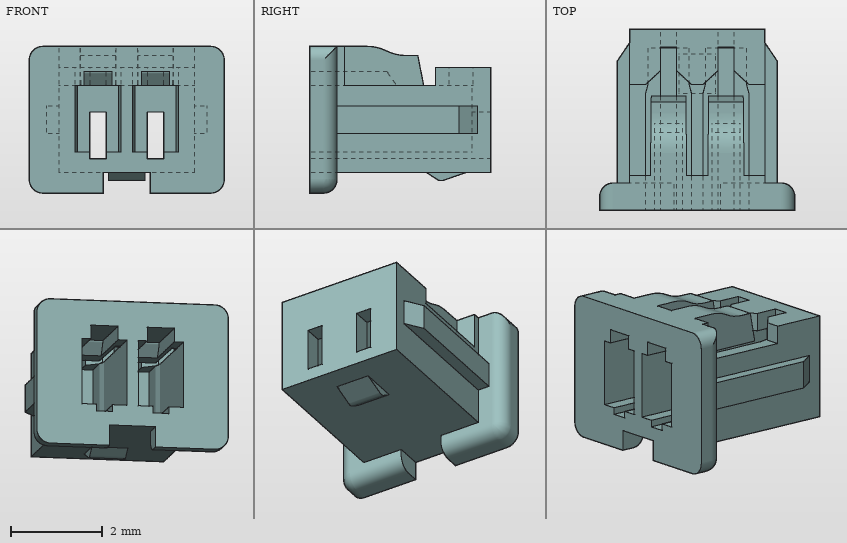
import cadquery as cq
import math

FLANGE_WIDTH = 4.25
FLANGE_HEIGHT = 3.2
FLANGE_THICKNESS = 0.6
FLANGE_RADIUS = 0.3
RIM_RADIUS = 0.298
NOTCH_WIDTH = 1.02

TOTAL_DEPTH = 3.95
BODY_WIDTH = 2.94
BODY_BOTTOM = 0.45
SHELF_Z = 2.345
REAR_BLOCK_TOP = 2.74
REAR_BLOCK_FRONT = 2.74
BRIDGE_BACK = 0.755

RIB_SPAN = 3.485
RIB_BOTTOM = 1.3
RIB_HEIGHT = 0.6
RIB_TAPER_START = 3.25
RIB_BACK = 3.655

LATCH_WIDTH = 0.8
LATCH_DROP = 0.195
LATCH_FRONT = 2.545
LATCH_PEAK = 2.845
LATCH_BACK = 3.41
LATCH_RADIUS = 0.17

CAVITY_PITCH = 1.25
CAVITY_X = (-CAVITY_PITCH / 2, CAVITY_PITCH / 2)
CAVITY_WIDTH = 0.995
CAVITY_END_WIDTH = 0.885
CAVITY_FLOOR = 0.9
CAVITY_BACK = 3.535
REAR_SLOT_BACK = 3.555
CAVITY_TAPER_START = 2.555
CAVITY_TAPER_END = 2.765
SLOT_WIDTH = 0.355
SLOT_BOTTOM = 0.752
SLOT_TOP = 1.765
FUNNEL_DEPTH = 0.298

KEYWAY_WIDTH = 0.605
KEYWAY_TOP = 2.648
KEYWAY_CEILING_END = 1.7
KEYWAY_SLOPE_ANGLE = 35.6
KEYWAY_BLEND_RADIUS = 0.08

TONGUE_ROOT_WIDTH = 0.79
TONGUE_TIP_WIDTH = 0.752
TONGUE_TIP_Z = 3.0
TONGUE_CURVE_START = 1.25
TONGUE_CURVE_END = 2.105
TONGUE_TOP_END = 2.36
TONGUE_BACK = 2.485


def block(width, y_start, y_end, z_start, z_end, x_center=0.0):
    """Box centred on x_center, spanning the given Y and Z ranges."""
    return (
        cq.Workplane("XY")
        .box(width, y_end - y_start, z_end - z_start, centered=(True, False, False))
        .translate((x_center, y_start, z_start))
    )


def extrude_side_profile(profile, width, x_center=0.0):
    """Extrude a YZ profile symmetrically about x_center."""
    return profile.extrude(width / 2, both=True).translate((x_center, 0, 0))


def flange():
    plate = block(FLANGE_WIDTH, 0, FLANGE_THICKNESS, 0, FLANGE_HEIGHT)
    plate = plate.edges("|Y and <Z").fillet(FLANGE_RADIUS)
    plate = plate.faces(">Y").edges("not >Z").fillet(RIM_RADIUS)
    outline = block(FLANGE_WIDTH, 0, FLANGE_THICKNESS, 0, FLANGE_HEIGHT)
    outline = outline.edges("|Y").fillet(FLANGE_RADIUS)
    notch = block(NOTCH_WIDTH, 0, FLANGE_THICKNESS, 0, BODY_BOTTOM)
    return plate.intersect(outline).cut(notch)


def body():
    lower = block(BODY_WIDTH, 0, TOTAL_DEPTH, BODY_BOTTOM, SHELF_Z)
    rear = block(BODY_WIDTH, REAR_BLOCK_FRONT, TOTAL_DEPTH, SHELF_Z, REAR_BLOCK_TOP)
    bridge = block(BODY_WIDTH, 0, BRIDGE_BACK, SHELF_Z, FLANGE_HEIGHT)
    return lower.union(rear).union(bridge)


def side_ribs():
    outline = [
        (-RIB_SPAN / 2, 0),
        (RIB_SPAN / 2, 0),
        (RIB_SPAN / 2, RIB_TAPER_START),
        (BODY_WIDTH / 2, RIB_BACK),
        (-BODY_WIDTH / 2, RIB_BACK),
        (-RIB_SPAN / 2, RIB_TAPER_START),
    ]
    return cq.Workplane("XY", origin=(0, 0, RIB_BOTTOM)).polyline(outline).close().extrude(RIB_HEIGHT)


def latch():
    profile = (
        cq.Workplane("YZ")
        .moveTo(LATCH_FRONT, BODY_BOTTOM)
        .lineTo(LATCH_PEAK, BODY_BOTTOM - LATCH_DROP)
        .lineTo(LATCH_BACK, BODY_BOTTOM)
        .close()
    )
    return extrude_side_profile(profile, LATCH_WIDTH).edges("|X and <Z").fillet(LATCH_RADIUS)


def tongue(x_center):
    """Locking tongue with an S-curved top, narrowing slightly towards its tip."""
    curve_middle = ((TONGUE_CURVE_START + TONGUE_CURVE_END) / 2, (FLANGE_HEIGHT + TONGUE_TIP_Z) / 2)
    profile = (
        cq.Workplane("YZ")
        .moveTo(BRIDGE_BACK, SHELF_Z)
        .lineTo(BRIDGE_BACK, FLANGE_HEIGHT)
        .lineTo(TONGUE_CURVE_START, FLANGE_HEIGHT)
        .tangentArcPoint(curve_middle, relative=False)
        .tangentArcPoint((TONGUE_CURVE_END, TONGUE_TIP_Z), relative=False)
        .lineTo(TONGUE_TOP_END, TONGUE_TIP_Z)
        .lineTo(TONGUE_BACK, SHELF_Z)
        .close()
    )
    plan = [
        (-TONGUE_ROOT_WIDTH / 2, BRIDGE_BACK),
        (TONGUE_ROOT_WIDTH / 2, BRIDGE_BACK),
        (TONGUE_TIP_WIDTH / 2, TONGUE_BACK),
        (-TONGUE_TIP_WIDTH / 2, TONGUE_BACK),
    ]
    taper = cq.Workplane("XY").polyline(plan).close().extrude(FLANGE_HEIGHT).translate((x_center, 0, 0))
    return extrude_side_profile(profile, TONGUE_ROOT_WIDTH, x_center).intersect(taper)


def cavity(x_center):
    """Terminal cavity, open at the front, narrowing near its closed end."""
    right_side = [
        (CAVITY_WIDTH / 2, 0),
        (CAVITY_WIDTH / 2, CAVITY_TAPER_START),
        (CAVITY_END_WIDTH / 2, CAVITY_TAPER_END),
        (CAVITY_END_WIDTH / 2, CAVITY_BACK),
    ]
    left_side = [(-x, y) for x, y in reversed(right_side)]
    chamber = (
        cq.Workplane("XY")
        .polyline(right_side + left_side)
        .close()
        .extrude(SHELF_Z - CAVITY_FLOOR)
        .translate((x_center, 0, CAVITY_FLOOR))
    )
    through_slot = block(SLOT_WIDTH, 0, TOTAL_DEPTH, SLOT_BOTTOM, SLOT_TOP, x_center)
    return chamber.union(through_slot)


def rear_opening(x_center):
    """Slot in the rear block with a funnel mouth as wide as the cavity it opens into."""
    funnel_back = REAR_BLOCK_FRONT + FUNNEL_DEPTH
    right_side = [
        (CAVITY_WIDTH / 2, REAR_BLOCK_FRONT),
        (SLOT_WIDTH / 2, funnel_back),
        (SLOT_WIDTH / 2, REAR_SLOT_BACK),
    ]
    left_side = [(-x, y) for x, y in reversed(right_side)]
    return (
        cq.Workplane("XY")
        .polyline(right_side + left_side)
        .close()
        .extrude(REAR_BLOCK_TOP - SHELF_Z)
        .translate((x_center, 0, SHELF_Z))
    )


def keyway(x_center):
    """Groove above the cavity, ending in a slope that blends into a short vertical rise."""
    angle = math.radians(KEYWAY_SLOPE_ANGLE)
    blend_end_y = KEYWAY_CEILING_END + KEYWAY_BLEND_RADIUS * (1 - math.cos(angle))
    blend_end_z = KEYWAY_TOP - KEYWAY_BLEND_RADIUS * math.sin(angle)
    slope_end_y = blend_end_y + (blend_end_z - SHELF_Z) * math.tan(angle)
    profile = (
        cq.Workplane("YZ")
        .moveTo(0, SHELF_Z)
        .lineTo(0, KEYWAY_TOP)
        .lineTo(KEYWAY_CEILING_END, KEYWAY_TOP)
        .radiusArc((blend_end_y, blend_end_z), -KEYWAY_BLEND_RADIUS)
        .lineTo(slope_end_y, SHELF_Z)
        .close()
    )
    return extrude_side_profile(profile, KEYWAY_WIDTH, x_center)


result = flange().union(body()).union(side_ribs()).union(latch())
for x in CAVITY_X:
    result = result.union(tongue(x))
    result = result.cut(cavity(x)).cut(rear_opening(x)).cut(keyway(x))